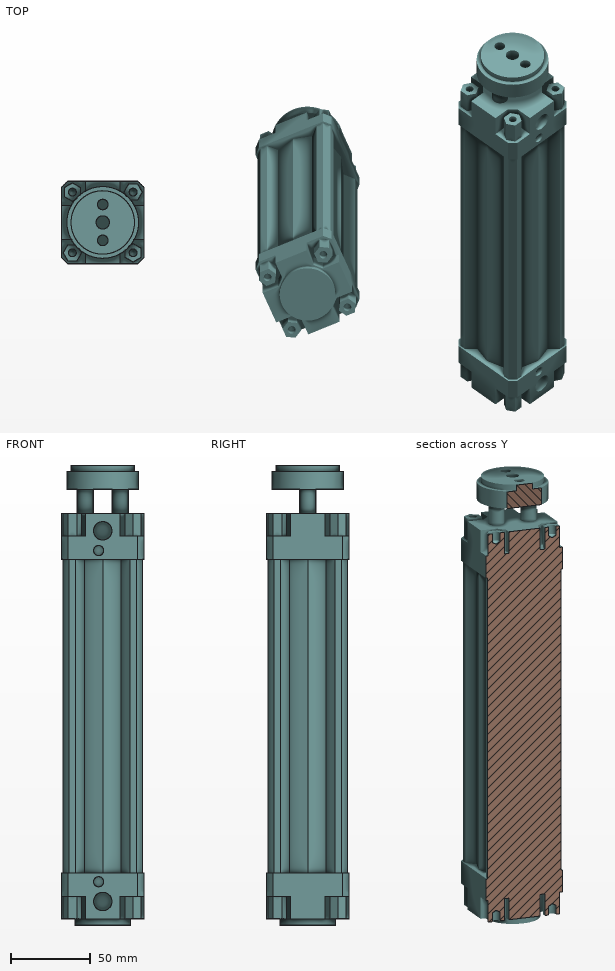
import cadquery as cq

total_height = 289.0
spigot_height = 4.0
head_height = 29.0
pocket_depth = 14.2
housing_top = 259.0

head_width = 52.0
head_chamfer = 4.0
spigot_diameter = 35.0

pocket_edge = 10.7
pocket_chamfer = 4.5
nut_offset = 19.0
nut_corner_diameter = 11.5
nut_hole_diameter = 5.0
nut_hole_depth = 5.8
drill_tip_height = 1.5

port_diameter = 11.5
port_depth = 11.5
port_inset = 11.0
needle_hole_diameter = 6.5
needle_hole_depth = 3.0
needle_hole_inset = 23.5
needle_hole_x = -2.5

barrel_width = 50.0
barrel_chamfer = 3.8
groove_mouth_half_width = 17.0
groove_floor_half_width = 11.5
groove_floor_offset = 19.7
groove_ridge_offset = 22.8

rod_diameter = 10.0
rod_offset = 11.0
plate_diameter = 45.0
plate_bottom = 274.0
plate_step_diameter = 40.0
plate_step_height = 3.8
plate_center_hole_diameter = 8.5
plate_side_hole_diameter = 6.6
plate_side_hole_offset = 11.3

head_half_width = head_width / 2
barrel_half_width = barrel_width / 2
pocket_width = head_half_width - pocket_edge
barrel_bottom = spigot_height + head_height
barrel_top = housing_top - head_height
housing_middle = (spigot_height + housing_top) / 2
plate_height = total_height - plate_bottom


def cylinder(diameter, height, x=0, y=0, z=0):
    """Upright cylinder whose lower face is centred on (x, y, z)."""
    return cq.Workplane("XY", origin=(x, y, z)).circle(diameter / 2).extrude(height)


def around_axis(shape):
    """Four copies of a shape, a quarter turn apart about the Z axis."""
    return [shape.rotate((0, 0, 0), (0, 0, 1), 90 * turn) for turn in range(4)]


def corner_pocket():
    """Notch in the +X +Y corner of a head, open at the head's top face."""
    center = pocket_edge + pocket_width / 2
    return (
        cq.Workplane("XY", origin=(center, center, housing_top - pocket_depth))
        .rect(pocket_width, pocket_width)
        .extrude(pocket_depth)
        .edges("|Z and <X and <Y")
        .chamfer(pocket_chamfer)
    )


def corner_nut():
    """Hexagonal nut in the +X +Y pocket, with a drilled hole that ends in a conical tip."""
    nut = (
        cq.Workplane("XY", origin=(nut_offset, nut_offset, housing_top - pocket_depth))
        .polygon(6, nut_corner_diameter)
        .extrude(pocket_depth)
    )
    hole_radius = nut_hole_diameter / 2
    hole = (
        cq.Workplane("XZ")
        .moveTo(0, 0)
        .lineTo(hole_radius, 0)
        .lineTo(hole_radius, -nut_hole_depth)
        .lineTo(0, -nut_hole_depth - drill_tip_height)
        .close()
        .revolve(360, (0, 0), (0, 1))
        .translate((nut_offset, nut_offset, housing_top))
    )
    return nut.cut(hole)


def side_hole(diameter, depth, x, inset):
    """Blind hole cutter entering the -Y face of the upper head."""
    return (
        cq.Workplane("XZ", origin=(x, -head_half_width, housing_top - inset))
        .circle(diameter / 2)
        .extrude(-depth)
    )


def make_upper_head():
    head = (
        cq.Workplane("XY", origin=(0, 0, barrel_top))
        .rect(head_width, head_width)
        .extrude(head_height)
        .edges("|Z")
        .chamfer(head_chamfer)
    )
    for pocket in around_axis(corner_pocket()):
        head = head.cut(pocket)
    for nut in around_axis(corner_nut()):
        head = head.union(nut)
    head = head.cut(side_hole(port_diameter, port_depth, 0, port_inset))
    return head.cut(side_hole(needle_hole_diameter, needle_hole_depth, needle_hole_x, needle_hole_inset))


def make_barrel():
    height = barrel_top - barrel_bottom
    barrel = (
        cq.Workplane("XY", origin=(0, 0, barrel_bottom))
        .rect(barrel_width, barrel_width)
        .extrude(height)
        .edges("|Z")
        .chamfer(barrel_chamfer)
    )
    groove = (
        cq.Workplane("XY", origin=(0, 0, barrel_bottom))
        .polyline([
            (-groove_mouth_half_width, barrel_half_width),
            (-groove_floor_half_width, groove_floor_offset),
            (0, groove_ridge_offset),
            (groove_floor_half_width, groove_floor_offset),
            (groove_mouth_half_width, barrel_half_width),
        ])
        .close()
        .extrude(height)
    )
    for cutter in around_axis(groove):
        barrel = barrel.cut(cutter)
    return barrel


def make_housing():
    """Barrel between two mirrored heads, with a round spigot under the lower head."""
    upper_head = make_upper_head()
    lower_head = upper_head.mirror("XY", (0, 0, housing_middle))
    spigot = cylinder(spigot_diameter, spigot_height)
    return make_barrel().union(upper_head).union(lower_head).union(spigot)


def make_rod_plate():
    """Stepped round plate carried by two rods that stand on the housing."""
    plate = cylinder(plate_diameter, plate_height - plate_step_height, z=plate_bottom)
    plate = plate.union(cylinder(plate_step_diameter, plate_height, z=plate_bottom))
    plate = plate.cut(cylinder(plate_center_hole_diameter, plate_height, z=plate_bottom))
    for side in (-1, 1):
        hole_y = side * plate_side_hole_offset
        plate = plate.cut(cylinder(plate_side_hole_diameter, plate_height, y=hole_y, z=plate_bottom))
    for side in (-1, 1):
        rod = cylinder(rod_diameter, plate_bottom - housing_top, x=side * rod_offset, z=housing_top)
        plate = plate.union(rod)
    return plate


housing = make_housing()
rod_plate = make_rod_plate()

result = cq.Compound.makeCompound([housing.val(), rod_plate.val()])